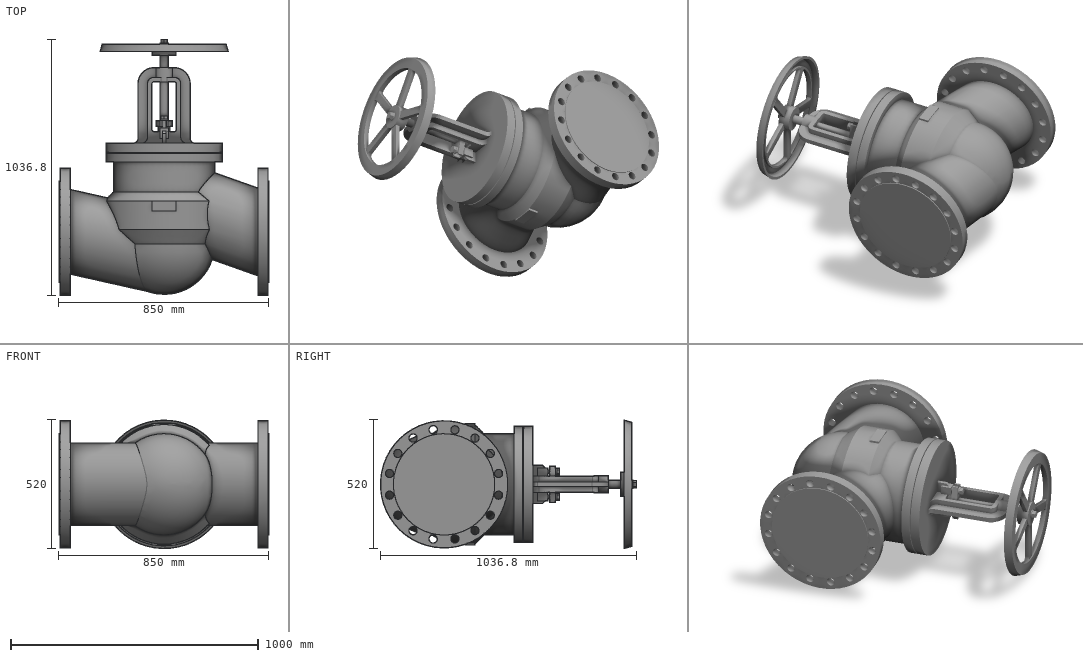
import math

import cadquery as cq


FACE_TO_FACE = 850.0
FLANGE_DIA = 515.0
FLANGE_THICKNESS = 42.0
RAISED_FACE_DIA = 410.0
RAISED_FACE_HEIGHT = 4.0
FLANGE_BACK_X = FACE_TO_FACE / 2 - RAISED_FACE_HEIGHT - FLANGE_THICKNESS
BOLT_CIRCLE_DIA = 450.0
BOLT_HOLE_DIA = 33.0
BOLT_HOLE_COUNT = 16

PIPE_RADIUS = 167.5
INLET_ANGLE = 12.6
OUTLET_ANGLE = 19.5
BOWL_RADIUS = 205.0
BOWL_CENTER_Y = -48.0
CHAMBER_RADIUS = 242.0
CHAMBER_BOTTOM_Y = 10.0
CHAMBER_TOP_Y = 124.5
NECK_RADIUS = BOWL_RADIUS
SHOULDER_TOP_Y = CHAMBER_TOP_Y + CHAMBER_RADIUS - NECK_RADIUS

PAD_WIDTH = 98.0
PAD_HEIGHT = 40.0
PAD_REACH = 245.5

BONNET_RADIUS = 236.0
BODY_FLANGE_BOTTOM_Y = 283.0
GASKET_BOTTOM_Y = 318.0
GASKET_THICKNESS = 4.0
GASKET_RADIUS = 225.0
BONNET_TOP_Y = 359.0

YOKE_TOP_Y = 665.0
YOKE_HALF_WIDTH = 106.0
YOKE_CORNER_RADIUS = 66.0
WEB_THICKNESS = 19.0
WEB_FOOT_FILLET = 19.0
STRAP_THICKNESS = 66.0
STRAP_HALF_WIDTH = 67.0
STRAP_TOP_Y = 625.0
STRAP_CORNER_RADIUS = 25.0
STRAP_FOOT_FILLET = 25.0
WINDOW_HALF_WIDTH = 49.0
WINDOW_BOTTOM_Y = 406.0
WINDOW_TOP_Y = 607.0
WINDOW_CORNER_RADIUS = 8.0
YOKE_BOSS_RADIUS = 35.0

STEM_RADIUS = 17.0
STEM_NUT_FLATS = 27.0
STEM_NUT_HEIGHT = 15.0
STEM_TOP_Y = 779.33
WHEEL_BOTTOM_Y = 729.0
WHEEL_TOP_Y = 760.0
WHEEL_BOTTOM_RADIUS = 260.0
WHEEL_TOP_RADIUS = 251.0
WHEEL_INNER_RADIUS = 206.0
RIM_WALL = 11.0
INNER_LIP_WALL = 8.0
INNER_LIP_BOTTOM_Y = 739.0
RIM_TOP_THICKNESS = 10.0
HUB_RADIUS = 49.0
HUB_BOTTOM_Y = 714.0
SPOKE_COUNT = 5
SPOKE_WIDTH = 32.0
SPOKE_BOTTOM_Y = 737.0
SPOKE_TOP_Y = 755.0
SPOKE_FILLET = 15.0

FOLLOWER_RADIUS = 24.0
GLAND_BOTTOM_Y = 427.0
GLAND_THICKNESS = 23.0
GLAND_HALF_LENGTH = 74.0
GLAND_HALF_WIDTH = 33.0
GLAND_TIP_HALF_WIDTH = 16.0
GLAND_STRAIGHT_HALF_LENGTH = 20.0
GLAND_SLOT_WIDTH = 18.0
GLAND_BOLT_RADIUS = 8.0
GLAND_BOLT_OFFSET = 51.0
GLAND_NUT_FLATS = 26.0
GLAND_NUT_HEIGHT = 12.0
GLAND_WASHER_RADIUS = 15.0
GLAND_WASHER_THICKNESS = 6.0
LUG_WIDTH = 34.0
LUG_BOTTOM_Y = 378.0
LUG_TOP_Y = 420.0
LUG_REACH = 67.0
RIB_WIDTH = 14.0
RIB_TOP_Y = 409.0
RIB_REACH = 78.0
RIB_CHAMFER = 11.0


def disc(radius, y_bottom, y_top):
    """Cylinder on the stem axis."""
    return cq.Workplane("XZ", origin=(0, y_top, 0)).circle(radius).extrude(y_top - y_bottom)


def box(x_range, y_range, z_range):
    """Axis-aligned block between the given limits."""
    size = [high - low for low, high in (x_range, y_range, z_range)]
    corner = (x_range[0], y_range[0], z_range[0])
    return cq.Workplane("XY").box(*size, centered=False).translate(corner)


def hexagon(flats, y_bottom, y_top, z_center=0.0):
    """Hexagonal prism along Y with two of its corners pointing along Z."""
    plane = cq.Workplane("XZ", origin=(0, y_top, z_center))
    corner_dia = flats / math.cos(math.pi / 6)
    return plane.transformed(rotate=(0, 0, 90)).polygon(6, corner_dia).extrude(y_top - y_bottom)


def end_flange(side):
    """Drilled flange with a raised face; side is -1 for the inlet and +1 for the outlet."""
    pitch = 360.0 / BOLT_HOLE_COUNT
    back = cq.Workplane("YZ", origin=(FLANGE_BACK_X, 0, 0))
    flange = back.circle(FLANGE_DIA / 2).extrude(FLANGE_THICKNESS)
    flange = flange.faces(">X").workplane().circle(RAISED_FACE_DIA / 2).extrude(RAISED_FACE_HEIGHT)
    holes = (
        back.polarArray(BOLT_CIRCLE_DIA / 2, pitch / 2, 360, BOLT_HOLE_COUNT)
        .circle(BOLT_HOLE_DIA / 2)
        .extrude(FLANGE_THICKNESS)
    )
    flange = flange.cut(holes)
    if side < 0:
        flange = flange.mirror("YZ")
    return flange


def pipe(flange_center, direction, inner_length):
    """Slanted pipe running inward from the flange; it also overshoots outward to be trimmed later."""
    outer_end = flange_center - direction * PIPE_RADIUS
    length = inner_length + PIPE_RADIUS
    return cq.Workplane(cq.Solid.makeCylinder(PIPE_RADIUS, length, outer_end, direction))


def pipes():
    """Slanted inlet and outlet pipes, trimmed flat at the backs of the end flanges."""
    dip = math.radians(INLET_ANGLE)
    inlet_length = FLANGE_BACK_X * math.cos(dip) - BOWL_CENTER_Y * math.sin(dip)
    inlet_direction = cq.Vector(math.cos(dip), -math.sin(dip), 0)
    inlet = pipe(cq.Vector(-FLANGE_BACK_X, 0, 0), inlet_direction, inlet_length)

    climb = math.radians(OUTLET_ANGLE)
    outlet_length = FLANGE_BACK_X / math.cos(climb)
    outlet_direction = cq.Vector(-math.cos(climb), math.sin(climb), 0)
    outlet = pipe(cq.Vector(FLANGE_BACK_X, 0, 0), outlet_direction, outlet_length)

    between_flanges = box(
        (-FLANGE_BACK_X, FLANGE_BACK_X),
        (-FACE_TO_FACE, FACE_TO_FACE),
        (-FLANGE_DIA / 2, FLANGE_DIA / 2),
    )
    return inlet.union(outlet).intersect(between_flanges)


def body():
    """Turned valve body with bowl, chamber, neck and the two bonnet flanges."""
    gasket_top_y = GASKET_BOTTOM_Y + GASKET_THICKNESS
    bowl_start = (BOWL_RADIUS, BOWL_CENTER_Y)
    bowl_bottom = (0, BOWL_CENTER_Y - BOWL_RADIUS)
    diagonal = BOWL_RADIUS * math.sqrt(0.5)
    bowl_middle = (diagonal, BOWL_CENTER_Y - diagonal)
    return (
        cq.Workplane("XY")
        .moveTo(*bowl_bottom)
        .threePointArc(bowl_middle, bowl_start)
        .lineTo(CHAMBER_RADIUS, CHAMBER_BOTTOM_Y)
        .lineTo(CHAMBER_RADIUS, CHAMBER_TOP_Y)
        .lineTo(NECK_RADIUS, SHOULDER_TOP_Y)
        .lineTo(NECK_RADIUS, BODY_FLANGE_BOTTOM_Y)
        .lineTo(BONNET_RADIUS, BODY_FLANGE_BOTTOM_Y)
        .lineTo(BONNET_RADIUS, GASKET_BOTTOM_Y)
        .lineTo(GASKET_RADIUS, GASKET_BOTTOM_Y)
        .lineTo(GASKET_RADIUS, gasket_top_y)
        .lineTo(BONNET_RADIUS, gasket_top_y)
        .lineTo(BONNET_RADIUS, BONNET_TOP_Y)
        .lineTo(0, BONNET_TOP_Y)
        .close()
        .revolve(360, (0, 0, 0), (0, 1, 0))
    )


def side_pads():
    """Bar through the chamber whose two ends stand out as flat pads."""
    half_width = PAD_WIDTH / 2
    return box(
        (-half_width, half_width),
        (CHAMBER_TOP_Y - PAD_HEIGHT, CHAMBER_TOP_Y),
        (-PAD_REACH, PAD_REACH),
    )


def arch(half_width, top_y, corner_radius, foot_fillet, thickness):
    """Upright plate standing on the bonnet, with rounded top corners and flared feet."""
    foot_half_width = half_width + foot_fillet
    fillet_top_y = BONNET_TOP_Y + foot_fillet
    return (
        cq.Workplane("XY", origin=(0, 0, -thickness / 2))
        .moveTo(-foot_half_width, BONNET_TOP_Y)
        .radiusArc((-half_width, fillet_top_y), -foot_fillet)
        .lineTo(-half_width, top_y - corner_radius)
        .radiusArc((-half_width + corner_radius, top_y), corner_radius)
        .lineTo(half_width - corner_radius, top_y)
        .radiusArc((half_width, top_y - corner_radius), corner_radius)
        .lineTo(half_width, fillet_top_y)
        .radiusArc((foot_half_width, BONNET_TOP_Y), -foot_fillet)
        .close()
        .extrude(thickness)
    )


def yoke():
    """T-section yoke: a thin outer web, a wide inner strap, a stem boss and a through window."""
    web = arch(YOKE_HALF_WIDTH, YOKE_TOP_Y, YOKE_CORNER_RADIUS, WEB_FOOT_FILLET, WEB_THICKNESS)
    strap = arch(
        STRAP_HALF_WIDTH, STRAP_TOP_Y, STRAP_CORNER_RADIUS, STRAP_FOOT_FILLET, STRAP_THICKNESS
    )
    window = box(
        (-WINDOW_HALF_WIDTH, WINDOW_HALF_WIDTH),
        (WINDOW_BOTTOM_Y, WINDOW_TOP_Y),
        (-STRAP_THICKNESS, STRAP_THICKNESS),
    )
    window = window.edges("|Z").fillet(WINDOW_CORNER_RADIUS)
    boss = disc(YOKE_BOSS_RADIUS, WINDOW_TOP_Y, YOKE_TOP_Y)
    return web.union(strap).cut(window).union(boss)


def stem():
    """Plain stem from the bonnet through the handwheel, ending in a hexagonal nut."""
    nut_bottom_y = STEM_TOP_Y - STEM_NUT_HEIGHT
    shaft = disc(STEM_RADIUS, BONNET_TOP_Y, nut_bottom_y)
    return shaft.union(hexagon(STEM_NUT_FLATS, nut_bottom_y, STEM_TOP_Y))


def spoke():
    """Flat spoke from the stem axis toward -Z, flared where it enters the inner lip of the rim."""
    half_width = SPOKE_WIDTH / 2
    end_half_width = half_width + SPOKE_FILLET
    end_radius = WHEEL_INNER_RADIUS + INNER_LIP_WALL / 2
    end_z = -math.sqrt(end_radius**2 - end_half_width**2)
    flare_z = end_z + SPOKE_FILLET
    return (
        cq.Workplane("XZ", origin=(0, SPOKE_TOP_Y, 0))
        .moveTo(-half_width, 0)
        .lineTo(-half_width, flare_z)
        .radiusArc((-end_half_width, end_z), SPOKE_FILLET)
        .threePointArc((0, -end_radius), (end_half_width, end_z))
        .radiusArc((half_width, flare_z), SPOKE_FILLET)
        .lineTo(half_width, 0)
        .close()
        .extrude(SPOKE_TOP_Y - SPOKE_BOTTOM_Y)
    )


def handwheel():
    """Spoked wheel with a tapered rim that is hollow on its lower side."""
    groove_roof_y = WHEEL_TOP_Y - RIM_TOP_THICKNESS
    rim = (
        cq.Workplane("XY")
        .moveTo(WHEEL_INNER_RADIUS, INNER_LIP_BOTTOM_Y)
        .lineTo(WHEEL_INNER_RADIUS, WHEEL_TOP_Y)
        .lineTo(WHEEL_TOP_RADIUS, WHEEL_TOP_Y)
        .lineTo(WHEEL_BOTTOM_RADIUS, WHEEL_BOTTOM_Y)
        .lineTo(WHEEL_BOTTOM_RADIUS - RIM_WALL, WHEEL_BOTTOM_Y)
        .lineTo(WHEEL_TOP_RADIUS - RIM_WALL, groove_roof_y)
        .lineTo(WHEEL_INNER_RADIUS + INNER_LIP_WALL, groove_roof_y)
        .lineTo(WHEEL_INNER_RADIUS + INNER_LIP_WALL, INNER_LIP_BOTTOM_Y)
        .close()
        .revolve(360, (0, 0, 0), (0, 1, 0))
    )
    wheel = rim.union(disc(HUB_RADIUS, HUB_BOTTOM_Y, WHEEL_TOP_Y))
    for index in range(SPOKE_COUNT):
        angle = index * 360.0 / SPOKE_COUNT
        wheel = wheel.union(spoke().rotate((0, 0, 0), (0, 1, 0), angle))
    return wheel


def gland_plate():
    """Tapered gland plate, slotted at both ends, on a round follower."""
    top_y = GLAND_BOTTOM_Y + GLAND_THICKNESS
    upper_right = [
        (GLAND_TIP_HALF_WIDTH, GLAND_HALF_LENGTH),
        (GLAND_HALF_WIDTH, GLAND_STRAIGHT_HALF_LENGTH),
    ]
    right_side = upper_right + [(x, -z) for x, z in reversed(upper_right)]
    left_side = [(-x, -z) for x, z in right_side]
    plate = cq.Workplane("XZ", origin=(0, top_y, 0)).polyline(right_side + left_side).close()
    plate = plate.extrude(GLAND_THICKNESS)
    half_slot = GLAND_SLOT_WIDTH / 2
    for side in (-1, 1):
        inner_z = side * GLAND_BOLT_OFFSET
        outer_z = side * GLAND_HALF_LENGTH
        slot = box(
            (-half_slot, half_slot),
            (GLAND_BOTTOM_Y, top_y),
            (min(inner_z, outer_z), max(inner_z, outer_z)),
        )
        plate = plate.cut(slot)
    return plate.union(disc(FOLLOWER_RADIUS, WINDOW_BOTTOM_Y, GLAND_BOTTOM_Y))


def gland_anchor():
    """Lug, rib, bolt, washer and nut holding the +Z end of the gland plate."""
    plate_top_y = GLAND_BOTTOM_Y + GLAND_THICKNESS
    washer_top_y = plate_top_y + GLAND_WASHER_THICKNESS
    lug = box((-LUG_WIDTH / 2, LUG_WIDTH / 2), (LUG_BOTTOM_Y, LUG_TOP_Y), (0, LUG_REACH))
    rib = (
        cq.Workplane("YZ", origin=(-RIB_WIDTH / 2, 0, 0))
        .moveTo(BONNET_TOP_Y, 0)
        .lineTo(BONNET_TOP_Y, RIB_REACH)
        .lineTo(RIB_TOP_Y - RIB_CHAMFER, RIB_REACH)
        .lineTo(RIB_TOP_Y, RIB_REACH - RIB_CHAMFER)
        .lineTo(RIB_TOP_Y, 0)
        .close()
        .extrude(RIB_WIDTH)
    )
    offset = (0, 0, GLAND_BOLT_OFFSET)
    bolt = disc(GLAND_BOLT_RADIUS, LUG_TOP_Y, washer_top_y).translate(offset)
    washer = disc(GLAND_WASHER_RADIUS, plate_top_y, washer_top_y).translate(offset)
    nut_top_y = washer_top_y + GLAND_NUT_HEIGHT
    nut = hexagon(GLAND_NUT_FLATS, washer_top_y, nut_top_y, GLAND_BOLT_OFFSET)
    window_clearance = box(
        (-LUG_WIDTH, LUG_WIDTH), (WINDOW_BOTTOM_Y, LUG_TOP_Y), (0, STRAP_THICKNESS / 2)
    )
    supports = lug.union(rib).cut(window_clearance)
    return supports.union(bolt).union(washer).union(nut)


anchor = gland_anchor()

result = body().union(pipes()).union(side_pads())
result = result.union(end_flange(-1)).union(end_flange(1))
result = result.union(yoke()).union(stem()).union(gland_plate())
result = result.union(anchor).union(anchor.mirror("XY"))
result = result.union(handwheel())